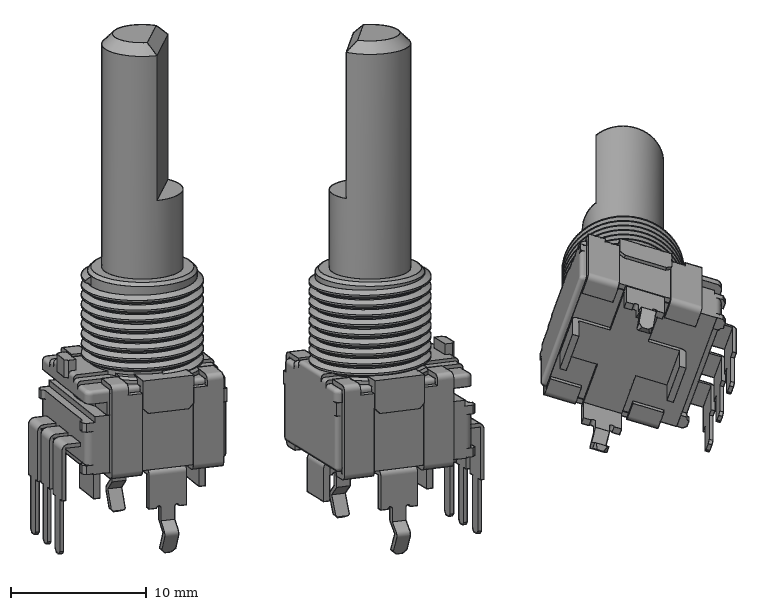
import cadquery as cq
import math


shaft_radius = 3.0
shaft_top = 25.0
flat_length = 12.0
flat_distance = 1.5
flat_direction = 60.0
shaft_chamfer = 0.8

thread_radius = 4.5
thread_pitch = 0.75
thread_depth = 0.46
thread_base_width = 0.72
thread_crest_width = 0.14
thread_overlap = 0.05
thread_turns = 8.75
thread_start_z = -0.195
bushing_top = 7.0
bushing_chamfer = 0.25
root_radius = thread_radius - thread_depth

base_disc_radius = 4.7
base_disc_top = -0.1
base_disc_chamfer = 0.2
strap_half_width = 2.0
strap_half_span = 5.37
strap_thickness = 0.6
strap_drop = 2.55
strap_corner = 0.4

bracket_half_span = 5.25
bracket_half_depth = 4.4
sheet = 0.5
bracket_top = -0.2
bracket_bottom = -7.43
bracket_fold = 0.45
bracket_opening_half_width = 3.07
clamp_inner_y = 3.1
clamp_notch_floor = -1.0
return_inner_x = 3.7
panel_recess = 0.12

housing_half_width = bracket_half_span - sheet
housing_back = 4.85
housing_front = -6.2
housing_bottom = -7.0
housing_rounding = 0.3
cover_bottom = -1.53
cover_corner = 0.5
pad_top = -0.58
step_top = -0.3
center_top = -0.05
step_half_width = 2.86
center_half_width = 2.05
back_wall_bottom = -6.87

block_top = -2.55
rotor_radius = 5.17
rotor_left_x = -2.65
rotor_right_x = 2.37
rotor_facet = 0.25

block_half_width = 4.7
ledge_front = -5.54
ledge_z = -3.0
block_corner = 0.5
face_bottom = -6.27
lower_front = -5.72
lug_front = -6.45
lug_inner_x = 4.0
lug_chamfer = 0.25
lug_height = 0.68

key_half_width = 1.0
key_back = -5.6
key_top = 0.77
key_chamfer = 0.25

terminal_spacing = 2.5
outer_terminal_width = 1.9
outer_pin_width = 1.0
outer_shoulder_z = -9.2
center_terminal_width = 1.8
center_pin_width = 0.9
center_shoulder_z = -9.05
terminal_front = -7.65
terminal_thickness = 0.3
terminal_top = -4.85
terminal_tip = -13.5
terminal_bend = 0.5
terminal_tip_chamfer = 0.25

leg_half_width = 1.48
leg_bottom = -10.0
hook_half_width = 0.55
hook_tip = terminal_tip
hook_tip_chamfer = 0.3
hook_bend_z = -11.0
hook_apex = (6.147, -11.8)
hook_apex_round = 0.4
hook_end = (5.27, hook_tip)
hook_inner_end = (4.87, -13.3)
shoulder_relief_radius = 0.17
plate_top = housing_bottom


def block(x_range, y_range, z_range):
    """Axis-aligned box between pairs of limits."""
    size = [high - low for low, high in (x_range, y_range, z_range)]
    return cq.Workplane("XY").box(*size, centered=False).translate((x_range[0], y_range[0], z_range[0]))


def centered_block(half_width, y_range, z_range):
    return block((-half_width, half_width), y_range, z_range)


def both_sides(shape):
    """The shape together with its mirror image across X = 0."""
    return shape.union(shape.mirror("YZ"))


def make_shaft():
    shaft = cq.Workplane("XY").circle(shaft_radius).extrude(shaft_top)
    flat_cut = block(
        (flat_distance, 2 * shaft_radius),
        (-2 * shaft_radius, 2 * shaft_radius),
        (shaft_top - flat_length, shaft_top + 1),
    ).rotate((0, 0, 0), (0, 0, 1), flat_direction)
    return shaft.cut(flat_cut).faces(">Z").edges().chamfer(shaft_chamfer)


def make_thread():
    root = root_radius - thread_overlap
    helix = cq.Wire.makeHelix(thread_pitch, thread_pitch * thread_turns, root)
    ridge = (
        cq.Workplane("XZ")
        .moveTo(root, -thread_base_width / 2)
        .lineTo(thread_radius, -thread_crest_width / 2)
        .lineTo(thread_radius, thread_crest_width / 2)
        .lineTo(root, thread_base_width / 2)
        .close()
        .sweep(cq.Workplane(obj=helix), isFrenet=True)
    )
    return ridge.translate((0, 0, thread_start_z))


def make_bushing():
    core = (
        cq.Workplane("XY").workplane(offset=pad_top - sheet)
        .circle(root_radius).extrude(bushing_top - pad_top + sheet)
        .faces(">Z").chamfer(bushing_chamfer)
    )
    disc = (
        cq.Workplane("XY").workplane(offset=base_disc_top)
        .circle(base_disc_radius).extrude(clamp_notch_floor - base_disc_top)
        .faces(">Z").chamfer(base_disc_chamfer)
        .intersect(centered_block(
            base_disc_radius, (-clamp_inner_y, clamp_inner_y), (clamp_notch_floor, base_disc_top)))
    )
    strap_y = (-strap_half_width, strap_half_width)
    bridge = centered_block(strap_half_span, strap_y, (-strap_thickness, 0))
    ear = (
        block((housing_half_width, strap_half_span), strap_y, (-strap_drop, 0))
        .edges("|X and <Z").chamfer(strap_corner)
    )
    return core.union(disc).union(bridge).union(both_sides(ear)).union(make_thread())


def make_bracket():
    """Sheet wrapped over the sides, clamping the top corners and returning under the bottom."""
    depth = (-bracket_half_depth, bracket_half_depth)
    panel_y = (-strap_half_width, strap_half_width)
    shell = (
        centered_block(bracket_half_span, depth, (bracket_bottom, bracket_top))
        .edges("|Y").fillet(bracket_fold)
    )
    inside = centered_block(housing_half_width, depth, (housing_bottom, pad_top))
    top_opening = centered_block(bracket_opening_half_width, depth, (pad_top, bracket_top))
    bottom_opening = centered_block(return_inner_x, depth, (bracket_bottom, housing_bottom))
    clamp_gap = centered_block(
        bracket_half_span, (-clamp_inner_y, clamp_inner_y), (clamp_notch_floor, bracket_top))
    bottom_gap = centered_block(bracket_half_span, panel_y, (bracket_bottom, housing_bottom))
    panel_cut = block(
        (bracket_half_span - panel_recess, bracket_half_span), panel_y, (bracket_bottom, bracket_top))
    for opening in (inside, top_opening, bottom_opening, clamp_gap, bottom_gap, both_sides(panel_cut)):
        shell = shell.cut(opening)
    return shell


def make_cover():
    depth = (housing_front, housing_back)
    pads = (
        centered_block(housing_half_width, depth, (cover_bottom, pad_top))
        .edges("|Z").fillet(cover_corner)
        .faces(">Z").edges().fillet(housing_rounding)
    )
    for half_width, top in ((step_half_width, step_top), (center_half_width, center_top)):
        tread = centered_block(half_width, depth, (cover_bottom, top))
        pads = pads.union(tread.faces(">Z").edges("|X").fillet(housing_rounding))
    key = (
        centered_block(key_half_width, (lug_front, key_back), (pad_top, key_top))
        .edges("|Z and <Y").chamfer(key_chamfer)
    )
    return pads.union(key)


def make_rotor_section():
    """Slice between cover and terminal block: round in front, slanted at 45 degrees on -X, flat on +X."""
    left_y = -math.sqrt(rotor_radius**2 - rotor_left_x**2)
    right_y = -math.sqrt(rotor_radius**2 - rotor_right_x**2)
    slant_back_y = left_y + housing_half_width + rotor_left_x - rotor_facet
    return (
        cq.Workplane("XY").workplane(offset=block_top)
        .moveTo(-housing_half_width, housing_back)
        .lineTo(-housing_half_width, slant_back_y)
        .lineTo(rotor_left_x - rotor_facet, left_y)
        .lineTo(rotor_left_x, left_y)
        .threePointArc((0, -rotor_radius), (rotor_right_x, right_y))
        .lineTo(housing_half_width, right_y)
        .lineTo(housing_half_width, housing_back)
        .close()
        .extrude(cover_bottom - block_top)
    )


def make_lug(lug_top):
    """Corner lug that blends into the front face with a concave round on its inner side."""
    blend = housing_front - lug_front
    return (
        cq.Workplane("XY").workplane(offset=lug_top)
        .moveTo(block_half_width, ledge_front)
        .lineTo(block_half_width, lug_front + lug_chamfer)
        .lineTo(block_half_width - lug_chamfer, lug_front)
        .lineTo(lug_inner_x, lug_front)
        .radiusArc((lug_inner_x - blend, housing_front), -blend)
        .lineTo(lug_inner_x - blend, ledge_front)
        .close()
        .extrude(-lug_height)
    )


def make_terminal_block():
    back = (
        centered_block(housing_half_width, (0, housing_back), (back_wall_bottom, cover_bottom))
        .edges("|Z and >Y").fillet(housing_rounding)
        .edges("<Z and >Y").fillet(housing_rounding)
    )
    ledge = centered_block(block_half_width, (ledge_front, 0), (ledge_z, block_top))
    face = (
        centered_block(block_half_width, (housing_front, 0), (face_bottom, ledge_z))
        .edges("|Z and <Y").fillet(block_corner)
    )
    lower = centered_block(
        block_half_width, (lower_front, bracket_half_depth), (housing_bottom, face_bottom))
    body = back.union(ledge).union(face).union(lower)
    for lug_top in (ledge_z, face_bottom):
        body = body.union(both_sides(make_lug(lug_top)))
    return body


def make_terminal(x, wide_width, narrow_width, shoulder_z):
    """Flat pin leaving the block horizontally and bending down to a narrow tip."""
    inner_y = terminal_front + terminal_thickness
    inner_z = terminal_top - terminal_thickness
    strip = (
        cq.Workplane("YZ")
        .moveTo(ledge_front, terminal_top)
        .lineTo(terminal_front + terminal_bend, terminal_top)
        .radiusArc((terminal_front, terminal_top - terminal_bend), -terminal_bend)
        .lineTo(terminal_front, terminal_tip)
        .lineTo(inner_y, terminal_tip)
        .lineTo(inner_y, inner_z)
        .lineTo(ledge_front, inner_z)
        .close()
        .extrude(wide_width / 2, both=True)
    )
    depth = (terminal_front, ledge_front)
    pin = (
        centered_block(narrow_width / 2, depth, (terminal_tip, terminal_top))
        .edges("|Y and <Z").chamfer(terminal_tip_chamfer)
    )
    silhouette = centered_block(wide_width / 2, depth, (shoulder_z, terminal_top)).union(pin)
    return strip.intersect(silhouette).translate((x, 0, 0))


def make_bottom_plate():
    """Cross-shaped plate whose front and back ends fold down into legs."""
    limits = (-bracket_half_depth, bracket_half_depth)
    plate = centered_block(leg_half_width, limits, (leg_bottom, plate_top))
    plate = plate.edges("|X and >Z").fillet(bracket_fold)
    under = centered_block(
        leg_half_width,
        (sheet - bracket_half_depth, bracket_half_depth - sheet),
        (leg_bottom, bracket_bottom),
    )
    crossbar = centered_block(
        housing_half_width, (-leg_half_width, leg_half_width), (bracket_bottom, plate_top))
    return plate.cut(under).union(crossbar)


def make_hook():
    """Side leg with a snap-in bend, narrowed below its shoulders."""
    outer = bracket_half_span
    ribbon = (
        cq.Workplane("XZ")
        .moveTo(outer - sheet, plate_top)
        .lineTo(outer - bracket_fold, plate_top)
        .radiusArc((outer, plate_top - bracket_fold), bracket_fold)
        .lineTo(outer, hook_bend_z)
        .lineTo(*hook_apex)
        .lineTo(*hook_end)
        .lineTo(*hook_inner_end)
        .lineTo(hook_apex[0] - sheet, hook_apex[1])
        .lineTo(outer - sheet, hook_bend_z)
        .close()
        .extrude(leg_half_width, both=True)
        .edges("|Y and >X").fillet(hook_apex_round)
    )
    reach = (0, hook_apex[0])
    shoulder = block(reach, (-leg_half_width, leg_half_width), (leg_bottom, plate_top))
    tongue = (
        block(reach, (-hook_half_width, hook_half_width), (hook_tip, plate_top))
        .edges("|X and <Z").chamfer(hook_tip_chamfer)
    )
    relief_y = hook_half_width + shoulder_relief_radius
    reliefs = (
        cq.Workplane("YZ").pushPoints([(-relief_y, leg_bottom), (relief_y, leg_bottom)])
        .circle(shoulder_relief_radius).extrude(hook_apex[0])
    )
    return ribbon.intersect(shoulder.union(tongue)).cut(reliefs)


result = make_cover().union(make_rotor_section()).union(make_terminal_block())
result = result.union(make_bracket()).union(make_bottom_plate()).union(both_sides(make_hook()))
for side in (-1, 1):
    result = result.union(make_terminal(
        side * terminal_spacing, outer_terminal_width, outer_pin_width, outer_shoulder_z))
result = result.union(make_terminal(0, center_terminal_width, center_pin_width, center_shoulder_z))
result = result.union(make_bushing()).union(make_shaft())